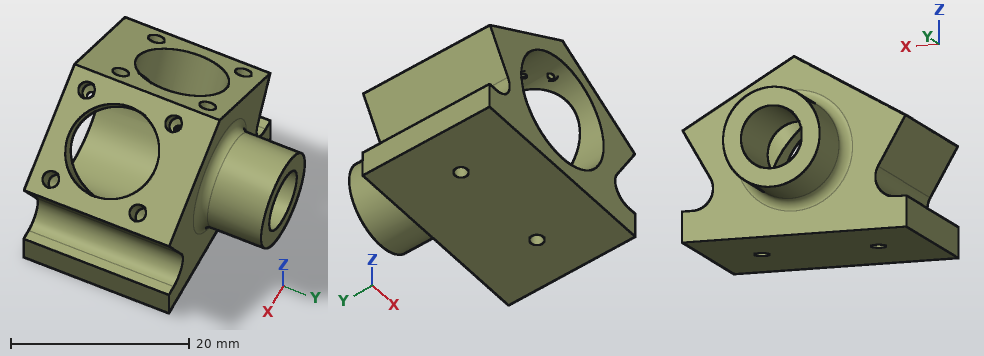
import cadquery as cq
import math

foot_half_width = 13.3
foot_height = 3.55
block_height = 20.45
block_length = 18.02
roof_angle = 30.0
shoulder_x = 13.2
neck_radius = 2.4

bore_height = 9.62
bore_diameter = 15.0
bore_depth = 16.67
passage_diameter = 7.2
collar_diameter = 11.45
total_length = 25.85
collar_fillet = 1.2

port_diameter = 10.8
port_depth = 9.35
screw_pitch = 10.8
screw_diameter = 1.9
ridge_screw_depth = 2.15
outer_screw_depth = 3.2
drill_point_angle = 118.0
left_port_y = 10.2
right_port_y = 7.81

mount_diameter = 1.7
mount_spacing = 13.82

pick_margin = 0.27

roof_slope = math.tan(math.radians(roof_angle))
shoulder_height = block_height - shoulder_x * roof_slope
neck_x = shoulder_x - (shoulder_height - foot_height) * roof_slope


def make_block():
    right_side = [
        (foot_half_width, 0),
        (foot_half_width, foot_height),
        (neck_x, foot_height),
        (shoulder_x, shoulder_height),
    ]
    left_side = [(-x, z) for x, z in reversed(right_side)]
    outline = right_side + [(0, block_height)] + left_side
    block = cq.Workplane("XZ").polyline(outline).close().extrude(-block_length)
    necks = cq.selectors.BoxSelector(
        (-neck_x - pick_margin, -pick_margin, foot_height - pick_margin),
        (neck_x + pick_margin, block_length + pick_margin, foot_height + pick_margin),
    )
    return block.edges("|Y").edges(necks).fillet(neck_radius)


def cylinder_along_y(diameter, start, end):
    plane = cq.Plane(origin=(0, start, bore_height), xDir=(1, 0, 0), normal=(0, 1, 0))
    return cq.Workplane(plane).circle(diameter / 2).extrude(end - start)


def add_collar(block):
    joined = block.union(cylinder_along_y(collar_diameter, block_length, total_length))
    root = cq.selectors.BoxSelector(
        (-pick_margin, block_length - pick_margin, 0),
        (pick_margin, block_length + pick_margin, block_height),
    )
    return joined.edges("%CIRCLE").edges(root).fillet(collar_fillet)


def drilled_hole(face, center, depth):
    """Screw hole below a face, ending in a conical drill point."""
    radius = screw_diameter / 2
    point_depth = depth + radius / math.tan(math.radians(drill_point_angle / 2))
    half_section = [(0, 0), (radius, 0), (radius, -depth), (0, -point_depth)]
    hole = cq.Workplane("XZ").polyline(half_section).close().revolve(360, (0, 0), (0, 1))
    location = face.plane.location * cq.Location(cq.Vector(*center, 0))
    return cq.Workplane(hole.val().moved(location))


def port_cutter(side, port_y):
    """Port and screw holes for the roof face on the given side (-1 left, +1 right)."""
    angle = math.radians(roof_angle)
    face_center = (side * shoulder_x / 2, port_y, (block_height + shoulder_height) / 2)
    outward = (side * math.sin(angle), 0, math.cos(angle))
    face = cq.Workplane(cq.Plane(origin=face_center, xDir=(0, 1, 0), normal=outward))
    port = face.circle(port_diameter / 2).extrude(-port_depth)
    for row, depth in ((side, ridge_screw_depth), (-side, outer_screw_depth)):
        for along in (-1, 1):
            center = (along * screw_pitch / 2, row * screw_pitch / 2)
            port = port.union(drilled_hole(face, center, depth))
    return port


def mount_cutter():
    centers = [(side * mount_spacing / 2, block_length / 2) for side in (-1, 1)]
    return cq.Workplane("XY").pushPoints(centers).circle(mount_diameter / 2).extrude(bore_height)


result = add_collar(make_block())
result = result.cut(cylinder_along_y(bore_diameter, 0, bore_depth))
result = result.cut(cylinder_along_y(passage_diameter, 0, total_length))
for side, port_y in ((-1, left_port_y), (1, right_port_y)):
    result = result.cut(port_cutter(side, port_y))
result = result.cut(mount_cutter())